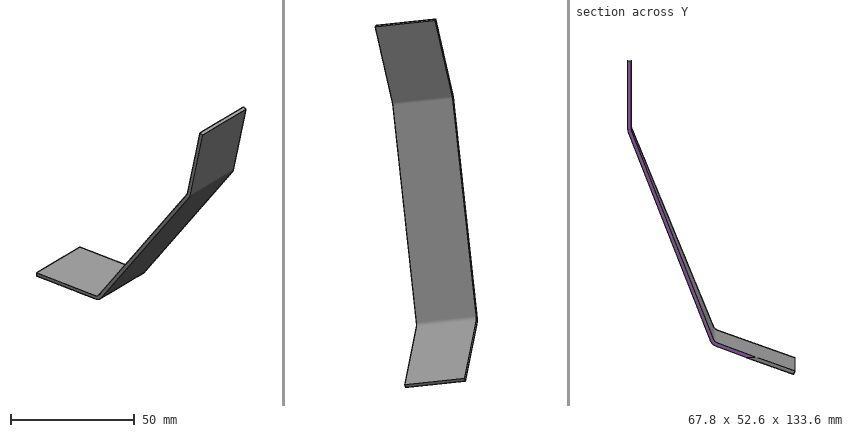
import cadquery as cq
import math

thickness = 1.6
strip_width = 25.4
bend_radius = 2.7

profile_depth = 67.8
profile_length = 131.2
upper_leg = 34.3
knee_x = 32.5
foot_angle = 20.0

lean_angle = 12.2

foot_rise = math.radians(foot_angle)
foot_tip_height = thickness * math.cos(foot_rise)
knee_height = foot_tip_height + knee_x * math.tan(foot_rise)
upper_bend_x = profile_depth - thickness
upper_bend_height = profile_length - upper_leg
shank_rise = math.atan2(upper_bend_height - knee_height, upper_bend_x - knee_x)


def outer_corner(inner, rise_before, rise_after):
    """Return the convex-face corner one thickness away from a concave-face corner."""
    bisector = (rise_before + rise_after) / 2
    reach = thickness / math.cos((rise_after - rise_before) / 2)
    return inner[0] + reach * math.sin(bisector), inner[1] - reach * math.cos(bisector)


foot_tip = (0, foot_tip_height)
knee = (knee_x, knee_height)
upper_bend = (upper_bend_x, upper_bend_height)
outer_knee = outer_corner(knee, foot_rise, shank_rise)
outer_upper_bend = outer_corner(upper_bend, shank_rise, math.pi / 2)

profile = [
    foot_tip,
    knee,
    upper_bend,
    (upper_bend_x, profile_length),
    (profile_depth, profile_length),
    outer_upper_bend,
    outer_knee,
    (thickness * math.sin(foot_rise), 0),
]


def round_bend_edge(strip, corner, radius):
    """Round the edge that crosses the strip at one profile corner."""
    edge_middle = (corner[0], strip_width / 2, corner[1])
    return strip.edges(cq.selectors.NearestToPointSelector(edge_middle)).fillet(radius)


strip = cq.Workplane("XZ").polyline(profile).close().extrude(-strip_width)

for inner, outer in ((knee, outer_knee), (upper_bend, outer_upper_bend)):
    strip = round_bend_edge(strip, inner, bend_radius)
    strip = round_bend_edge(strip, outer, bend_radius + thickness)

result = strip.rotate((0, 0, 0), (1, 0, 0), -lean_angle)